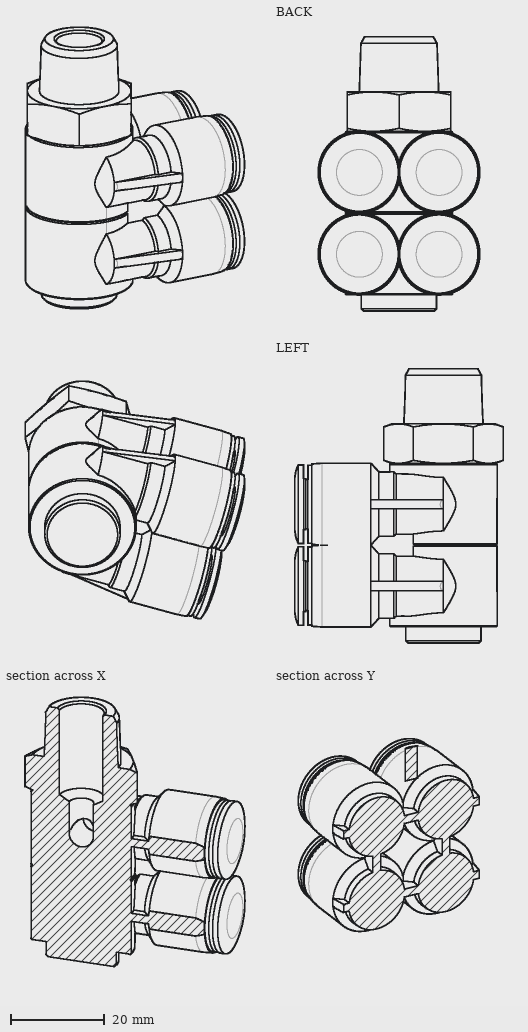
import cadquery as cq
import math

TOTAL_HEIGHT = 58.6
STUB_HEIGHT = 3.45
LEVEL_PITCH = 17.45
LEVELS = 2
BRANCH_OFFSET = 8.5
BODY_TOP = STUB_HEIGHT + LEVELS * LEVEL_PITCH
LEVEL_HEIGHTS = [STUB_HEIGHT + (level + 0.5) * LEVEL_PITCH for level in range(LEVELS)]

STUB_DIAMETER = 16.1
STUB_CHAMFER = 0.5
BODY_DIAMETER = 23.0
BODY_CHAMFER = 0.3

HEX_FLATS = 22.15
HEX_TOP = 46.75
HEX_HALF_ANGLE = 30.0
HEX_CHAMFER_ANGLE = 20.0

THREAD_END_DIAMETER = 16.3
THREAD_ROOT_DIAMETER = 17.0
THREAD_CHAMFER_HEIGHT = 1.45
THREAD_TIP_DIAMETER = 14.65

BORE_DIAMETER = 9.8
BORE_CHAMFER = 0.45
BORE_FLOOR = BODY_TOP
BORE_CONE_HEIGHT = 1.3
PASSAGE_DIAMETER = 5.4

CONE_TIP_DEPTH = 4.5
SHANK_END = 10.1
SHANK_DIAMETER = 12.9
STEP_START = 10.6
STEP_END = 13.8
STEP_DIAMETER = 13.85
SOCKET_START = 15.45
SOCKET_TAPER_START = 25.95
SOCKET_DIAMETER = 17.5
SOCKET_END = 28.05
SOCKET_END_DIAMETER = 17.2
COLLAR_END = 28.95
COLLAR_DIAMETER = 16.7
NECK_STEP = 29.35
NECK_INNER_DIAMETER = 10.55
NECK_DIAMETER = 10.9
RELEASE_RING_BACK = 29.8
RELEASE_RING_EDGE = 31.0
RELEASE_RING_DIAMETER = 16.8
RELEASE_RING_TIP = 31.75
RELEASE_RING_FACE_DIAMETER = 9.8
DOME_BULGE = 0.25

RIB_THICKNESS = 2.0
RIB_END_HALF_WIDTH = 14.8


def cylinder(diameter, bottom, top):
    return cq.Workplane("XY").workplane(offset=bottom).circle(diameter / 2).extrude(top - bottom)


def make_stub():
    return cylinder(STUB_DIAMETER, 0, STUB_HEIGHT).faces("<Z").chamfer(STUB_CHAMFER)


def make_body_ring(level):
    bottom = STUB_HEIGHT + level * LEVEL_PITCH
    ring = cylinder(BODY_DIAMETER, bottom, bottom + LEVEL_PITCH)
    return ring.faces("<Z or >Z").chamfer(BODY_CHAMFER)


def make_hex_nut():
    """Hexagon with corners on the Y axis, its ends bevelled to a circle that touches the flats."""
    corner_radius = HEX_FLATS / 2 / math.cos(math.radians(HEX_HALF_ANGLE))
    bevel_drop = (corner_radius - HEX_FLATS / 2) * math.tan(math.radians(HEX_CHAMFER_ANGLE))
    hexagon = (
        cq.Workplane("XY")
        .workplane(offset=BODY_TOP)
        .polygon(6, 2 * corner_radius)
        .extrude(HEX_TOP - BODY_TOP)
        .rotate((0, 0, 0), (0, 0, 1), HEX_HALF_ANGLE)
    )
    bevelled_disc = (
        cq.Workplane("XZ")
        .moveTo(0, BODY_TOP)
        .lineTo(HEX_FLATS / 2, BODY_TOP)
        .lineTo(corner_radius, BODY_TOP + bevel_drop)
        .lineTo(corner_radius, HEX_TOP - bevel_drop)
        .lineTo(HEX_FLATS / 2, HEX_TOP)
        .lineTo(0, HEX_TOP)
        .close()
        .revolve(360, (0, 0), (0, 1))
    )
    return hexagon.intersect(bevelled_disc)


def make_thread():
    chamfer_start = TOTAL_HEIGHT - THREAD_CHAMFER_HEIGHT
    return (
        cq.Workplane("XZ")
        .moveTo(0, HEX_TOP)
        .lineTo(THREAD_ROOT_DIAMETER / 2, HEX_TOP)
        .lineTo(THREAD_END_DIAMETER / 2, chamfer_start)
        .lineTo(THREAD_TIP_DIAMETER / 2, TOTAL_HEIGHT)
        .lineTo(0, TOTAL_HEIGHT)
        .close()
        .revolve(360, (0, 0), (0, 1))
    )


def make_branch(x, z):
    """One push-in branch, revolved about a line parallel to Y through (x, z)."""
    ring_radius = RELEASE_RING_DIAMETER / 2
    face_radius = RELEASE_RING_FACE_DIAMETER / 2
    dome_middle = (
        (ring_radius + face_radius) / 2,
        (RELEASE_RING_EDGE + RELEASE_RING_TIP) / 2 + DOME_BULGE,
    )
    profile = (
        cq.Workplane("XY")
        .moveTo(0, -CONE_TIP_DEPTH)
        .lineTo(SHANK_DIAMETER / 2, 0)
        .lineTo(SHANK_DIAMETER / 2, SHANK_END)
        .lineTo(STEP_DIAMETER / 2, STEP_START)
        .lineTo(STEP_DIAMETER / 2, STEP_END)
        .lineTo(SOCKET_DIAMETER / 2, SOCKET_START)
        .lineTo(SOCKET_DIAMETER / 2, SOCKET_TAPER_START)
        .lineTo(SOCKET_END_DIAMETER / 2, SOCKET_END)
        .lineTo(COLLAR_DIAMETER / 2, SOCKET_END)
        .lineTo(COLLAR_DIAMETER / 2, COLLAR_END)
        .lineTo(NECK_INNER_DIAMETER / 2, COLLAR_END)
        .lineTo(NECK_INNER_DIAMETER / 2, NECK_STEP)
        .lineTo(NECK_DIAMETER / 2, NECK_STEP)
        .lineTo(NECK_DIAMETER / 2, RELEASE_RING_BACK)
        .lineTo(ring_radius, RELEASE_RING_BACK)
        .lineTo(ring_radius, RELEASE_RING_EDGE)
        .threePointArc(dome_middle, (face_radius, RELEASE_RING_TIP))
        .lineTo(0, RELEASE_RING_TIP)
        .close()
    )
    return profile.revolve(360, (0, 0), (0, 1)).translate((x, 0, z))


def make_level_rib(z):
    """Horizontal plate through both branches of a level, narrowing towards the stem."""
    socket_half_width = BRANCH_OFFSET + SOCKET_DIAMETER / 2
    return (
        cq.Workplane("XY")
        .workplane(offset=z - RIB_THICKNESS / 2)
        .moveTo(-RIB_END_HALF_WIDTH, 0)
        .lineTo(RIB_END_HALF_WIDTH, 0)
        .lineTo(socket_half_width, SOCKET_START)
        .lineTo(-socket_half_width, SOCKET_START)
        .close()
        .extrude(RIB_THICKNESS)
    )


def make_upright_rib(x):
    """Vertical plate joining the branches that lie above one another."""
    bottom = LEVEL_HEIGHTS[0]
    return cq.Workplane("XY").box(
        RIB_THICKNESS, SOCKET_START, LEVEL_HEIGHTS[-1] - bottom, centered=(True, False, False)
    ).translate((x, 0, bottom))


def make_bore():
    """Stepped bore that ends in a cross passage joining the two top branches."""
    passage_height = LEVEL_HEIGHTS[-1]
    drilled = (
        cq.Workplane("XZ")
        .moveTo(0, passage_height)
        .lineTo(PASSAGE_DIAMETER / 2, passage_height)
        .lineTo(PASSAGE_DIAMETER / 2, BORE_FLOOR - BORE_CONE_HEIGHT)
        .lineTo(BORE_DIAMETER / 2, BORE_FLOOR)
        .lineTo(BORE_DIAMETER / 2, TOTAL_HEIGHT - BORE_CHAMFER)
        .lineTo(BORE_DIAMETER / 2 + BORE_CHAMFER, TOTAL_HEIGHT)
        .lineTo(0, TOTAL_HEIGHT)
        .close()
        .revolve(360, (0, 0), (0, 1))
    )
    cross_passage = (
        cq.Workplane("YZ")
        .center(0, passage_height)
        .circle(PASSAGE_DIAMETER / 2)
        .extrude(BRANCH_OFFSET, both=True)
    )
    return drilled.union(cross_passage)


result = make_stub().union(make_hex_nut()).union(make_thread())
for level in range(LEVELS):
    result = result.union(make_body_ring(level))
for height in LEVEL_HEIGHTS:
    result = result.union(make_level_rib(height))
for side in (-BRANCH_OFFSET, BRANCH_OFFSET):
    result = result.union(make_upright_rib(side))
    for height in LEVEL_HEIGHTS:
        result = result.union(make_branch(side, height))
result = result.cut(make_bore())